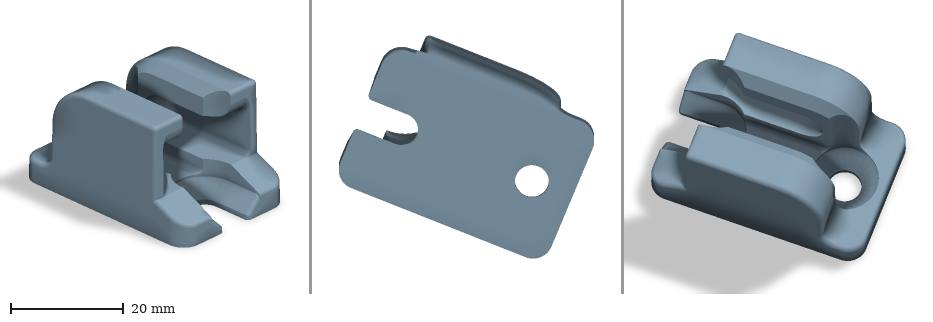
import cadquery as cq
import math

length = 40.38
width = 26.38
height = 21.8
draft = 0.5

base_height = 4.5
wall_half_length = 12.88
root_radius = 2.5
shoulder_radius = 8.5
ramp_height = 7.5
ramp_angle = 25.0
corner_radius = 3.5
edge_radius = 0.8

channel_half_width = 4.05
channel_floor = base_height
channel_root_radius = 1.0

pocket_radius = 4.3
pocket_half_width = 11.0
pocket_center_x = -2.6
pocket_floor_radius = 1.0
pocket_flare_radius = 3.8

screw_x = 12.5
screw_radius = 3.0
head_radius = 6.05
cone_bottom = 1.0
cone_top = cone_bottom + head_radius - screw_radius

channel_chamfer = head_radius - channel_half_width
draft_slope = math.tan(math.radians(draft))
ramp_slope = math.tan(math.radians(ramp_angle))
reach = length


def wall_x(z):
    """Distance of the drafted wall ends from the middle at height z."""
    return wall_half_length + (height - z) * draft_slope


def nearest(x, y, z):
    """Selector for the edge closest to a point."""
    return cq.selectors.NearestToPointSelector((x, y, z))


def make_body():
    """Drafted block trimmed to the stepped side profile."""
    block = cq.Workplane("XY").rect(length, width).extrude(height, taper=draft)
    block = block.edges("not(|X or |Y)").fillet(corner_radius)

    ramp_end_height = ramp_height - (reach - wall_x(ramp_height)) * ramp_slope
    profile = (
        cq.Workplane("XZ")
        .moveTo(-reach, -reach)
        .lineTo(-reach, base_height)
        .lineTo(-wall_x(base_height), base_height)
        .lineTo(-wall_x(height), height)
        .lineTo(wall_x(height), height)
        .lineTo(wall_x(ramp_height), ramp_height)
        .lineTo(reach, ramp_end_height)
        .lineTo(reach, -reach)
        .close()
        .extrude(width, both=True)
    )
    profile = profile.edges(nearest(-wall_x(base_height), 0, base_height)).fillet(root_radius)
    profile = profile.edges(nearest(-wall_x(height), 0, height)).fillet(shoulder_radius)
    return block.intersect(profile)


def round_rim(body):
    """Round the side outlines, both base ends and the top of the ramp-side wall end."""

    def on_rim(edge):
        center = edge.Center()
        above_base = edge.BoundingBox().zmin > cone_bottom
        runs_across = edge.geomType() == "LINE" and abs(center.y) < edge_radius
        at_base_end = abs(center.x) > length / 2 - edge_radius
        at_wall_end = center.x > 0 and center.z > height - edge_radius
        return above_base and (not runs_across or at_base_end or at_wall_end)

    rim = [edge for edge in body.edges().vals() if on_rim(edge)]
    return body.newObject(rim).fillet(edge_radius)


def make_ledge(side):
    """Inner strip of one wall, chamfered along its shoulder and top."""
    ledge = (
        cq.Workplane("XZ", origin=(0, side * channel_half_width, 0))
        .moveTo(-wall_x(-reach), -reach)
        .lineTo(-wall_x(height), height)
        .lineTo(reach, height)
        .lineTo(reach, -reach)
        .close()
        .extrude(-side * reach)
    )
    ledge = ledge.edges(nearest(-wall_x(height), side * width, height)).fillet(shoulder_radius)
    inner_face = "<Y" if side > 0 else ">Y"
    return ledge.faces(inner_face).edges(">Z").chamfer(channel_chamfer)


def channel_block(half_width):
    """Upright block between the two screw centres, standing on the channel floor."""
    return (
        cq.Workplane("XY", origin=(0, 0, channel_floor))
        .rect(2 * screw_x, 2 * half_width)
        .extrude(height)
    )


def cut_channel(body):
    """Cut the channel between the screw openings and chamfer its upper edges."""
    trough = channel_block(channel_half_width)
    chamfers = channel_block(head_radius).cut(trough)
    for side in (-1, 1):
        chamfers = chamfers.cut(make_ledge(side))
    trough = trough.edges("|X and <Z").fillet(channel_root_radius)
    return body.cut(trough).cut(chamfers)


def cut_side_pockets(body):
    """Hollow both walls with a round-ended pocket that leaves through the ramp-side end."""
    bottom = ramp_height
    top = bottom + 2 * pocket_radius
    middle = bottom + pocket_radius
    flare_end_x = wall_x(top)
    flare_start_x = flare_end_x - pocket_flare_radius
    flare_top = top + pocket_flare_radius
    arc_shift = pocket_flare_radius * math.sqrt(0.5)
    pocket = (
        cq.Workplane("XZ", origin=(0, pocket_half_width, 0))
        .moveTo(length / 2, bottom)
        .lineTo(pocket_center_x, bottom)
        .threePointArc((pocket_center_x - pocket_radius, middle), (pocket_center_x, top))
        .lineTo(flare_start_x, top)
        .threePointArc(
            (flare_start_x + arc_shift, flare_top - arc_shift),
            (flare_end_x, flare_top),
        )
        .lineTo(length / 2, flare_top)
        .close()
        .extrude(2 * pocket_half_width)
    )
    pocket = pocket.faces("<Y or >Y").edges("not >X").fillet(pocket_floor_radius)
    return body.cut(pocket)


screw_side = [
    (screw_radius, 0),
    (screw_radius, cone_bottom),
    (head_radius, cone_top),
    (head_radius, height),
]


def mirrored_outline(half_section):
    """Closed outline square to X from its +Y half, drawn at the slot centre."""
    other_half = [(-offset, z) for offset, z in reversed(half_section)]
    return cq.Workplane("YZ", origin=(screw_x, 0, 0)).polyline(half_section + other_half).close()


def turned_cutter():
    """Round screw clearance about the Z axis."""
    return (
        cq.Workplane("XZ")
        .polyline([(0, 0)] + screw_side + [(0, height)])
        .close()
        .revolve(360, (0, 0, 0), (0, 1, 0))
    )


def cut_hole(body):
    """Cut the countersunk hole at the base end."""
    return body.cut(turned_cutter().translate((-screw_x, 0, 0)))


def cut_slot(body):
    """Cut the open countersunk slot at the ramp end."""
    straight = mirrored_outline(screw_side).extrude(length)
    body = body.cut(turned_cutter().translate((screw_x, 0, 0)))
    return body.cut(straight).cut(slot_mouth())


def slot_mouth():
    """Rounded flare of the slot's neck and cone where they leave the end face."""
    mouth_height = 2 * cone_top
    outer_offset = screw_radius + mouth_height - cone_bottom
    neck = [
        (screw_radius, 0),
        (screw_radius, cone_bottom),
        (outer_offset, mouth_height),
    ]
    full = cq.Workplane("XY").rect(length, width).extrude(mouth_height, taper=draft)
    grooved = full.cut(mirrored_outline(neck).extrude(length))
    mouth_edges = []
    for side in (-1, 1):
        for offset, z in ((screw_radius, cone_bottom / 2), (head_radius, cone_top)):
            edge = grooved.edges(nearest(length / 2, side * offset, z))
            mouth_edges.append(edge.val())
    grooved = grooved.newObject(mouth_edges).fillet(edge_radius)
    head_space = cq.Workplane("XY").rect(2 * length, 2 * head_radius).extrude(mouth_height)
    return full.cut(grooved).intersect(head_space)


result = make_body()
result = round_rim(result)
result = cut_channel(result)
result = cut_side_pockets(result)
result = cut_hole(result)
result = cut_slot(result)